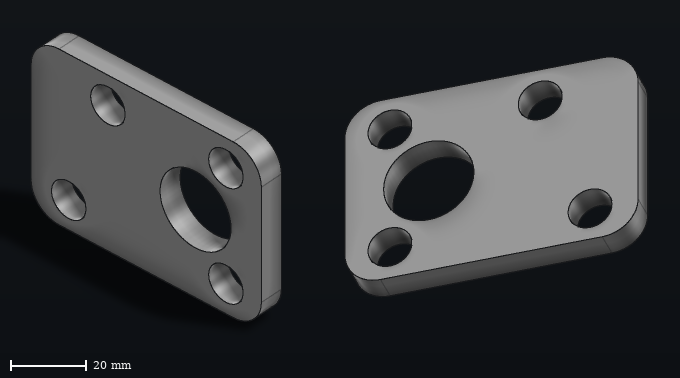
import cadquery as cq

length = 82.0
thickness = 8.0
height = 58.0
corner_radius = 10.0

bore_diameter = 25.2
bore_x = 17.55

bolt_hole_diameter = 12.2
bolt_row_z = 19.0
right_bolt_x = 28.4
upper_left_bolt_x = -13.6
lower_left_bolt_x = -27.55

bolt_hole_centres = [
    (right_bolt_x, bolt_row_z),
    (right_bolt_x, -bolt_row_z),
    (upper_left_bolt_x, bolt_row_z),
    (lower_left_bolt_x, -bolt_row_z),
]


def rounded_plate():
    """Rectangular plate with its four corners rounded."""
    return cq.Workplane("XY").box(length, thickness, height).edges("|Y").fillet(corner_radius)


def through_holes(centres, diameter):
    """Cylinders along Y that pass right through the plate at the given (x, z) centres."""
    return (
        cq.Workplane("XZ", origin=(0, thickness / 2, 0))
        .pushPoints(centres)
        .circle(diameter / 2)
        .extrude(thickness)
    )


result = (
    rounded_plate()
    .cut(through_holes([(bore_x, 0)], bore_diameter))
    .cut(through_holes(bolt_hole_centres, bolt_hole_diameter))
)